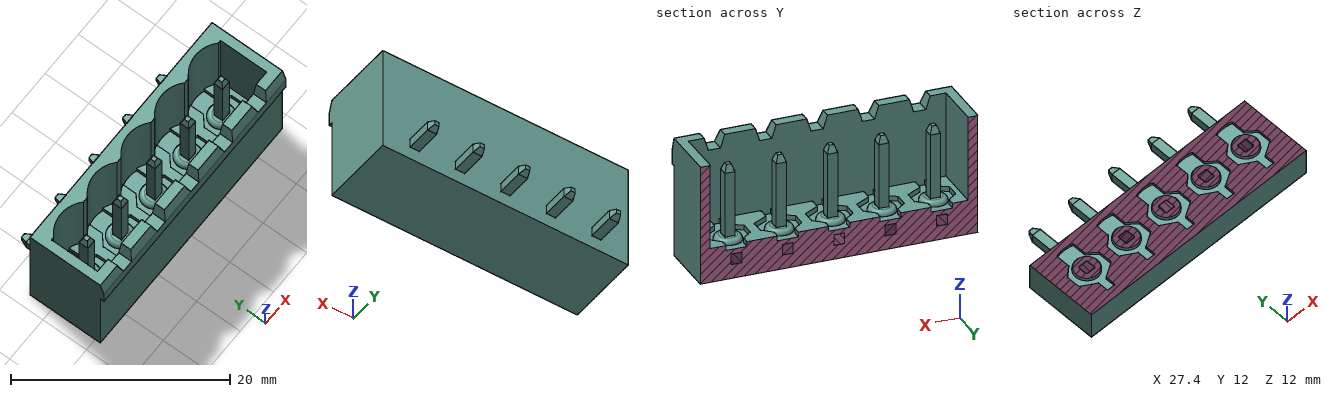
import cadquery as cq


CONTACT_COUNT = 5
PITCH = 5.07
CONTACT_Y = -3.8
CONTACT_XS = [(i - (CONTACT_COUNT - 1) / 2) * PITCH for i in range(CONTACT_COUNT)]

LENGTH = 27.4
HEIGHT = 12.0
BODY_DEPTH = 8.08
LIP_PROJECTION = 0.4
LIP_HEIGHT = 2.82
LIP_CHAMFER_HEIGHT = 1.32
LIP_FRONT_Y = -BODY_DEPTH - LIP_PROJECTION

END_WALL = 1.0
CAVITY_FRONT_Y = LIP_FRONT_Y + 1.48
SCALLOP_PEAK_Y = -0.82
SCALLOP_CUSP_Y = -1.73
SCALLOP_HALF_WIDTH = 2.25
FLOOR_Z = 3.5

RECESS_DEPTH = 0.5
RECESS_BACK_WIDTH = 2.05
RECESS_WIDTH = 4.08
RECESS_FRONT_WIDTH = 0.93
RECESS_NECK_Y = -2.52
RECESS_WIDE_BACK_Y = -3.4
RECESS_WIDE_FRONT_Y = -4.88
RECESS_SLOT_Y = -5.84

COLLAR_DIAMETER = 2.75
COLLAR_TOP_DIAMETER = 1.78
COLLAR_ROUND = (COLLAR_DIAMETER - COLLAR_TOP_DIAMETER) / 2
COLLAR_HEIGHT = RECESS_DEPTH

NOTCH_TOP_WIDTH = 2.03
NOTCH_FLOOR_WIDTH = 1.2
NOTCH_DEPTH = LIP_CHAMFER_HEIGHT

PIN_WIDTH = 1.01
PIN_TIP_WIDTH = 0.47
PIN_TAPER_LENGTH = 0.75
PIN_TOP_Z = 10.77
TAIL_Z = 1.97
TAIL_END_Y = 3.5


def make_block():
    """Housing block with the chamfered lip, as a side profile run along the length."""
    profile = [
        (0, 0),
        (0, HEIGHT),
        (-BODY_DEPTH, HEIGHT),
        (LIP_FRONT_Y, HEIGHT - LIP_CHAMFER_HEIGHT),
        (LIP_FRONT_Y, HEIGHT - LIP_HEIGHT),
        (-BODY_DEPTH, HEIGHT - LIP_HEIGHT),
        (-BODY_DEPTH, 0),
    ]
    return cq.Workplane("YZ").polyline(profile).close().extrude(LENGTH / 2, both=True)


def make_cavity(floor_z):
    """Space inside the cavity walls, from floor_z up to the open top."""
    half_length = LENGTH / 2 - END_WALL
    outline = (
        cq.Workplane("XY", origin=(0, 0, floor_z))
        .moveTo(-half_length, CAVITY_FRONT_Y)
        .lineTo(-half_length, SCALLOP_CUSP_Y)
    )
    for x in CONTACT_XS:
        outline = outline.lineTo(x - SCALLOP_HALF_WIDTH, SCALLOP_CUSP_Y).threePointArc(
            (x, SCALLOP_PEAK_Y), (x + SCALLOP_HALF_WIDTH, SCALLOP_CUSP_Y)
        )
    outline = outline.lineTo(half_length, SCALLOP_CUSP_Y).lineTo(half_length, CAVITY_FRONT_Y)
    return outline.close().extrude(HEIGHT - floor_z)


def make_recess(x):
    """Keyhole-shaped floor recess running from the scalloped wall to the front wall."""
    right_side = [
        (RECESS_BACK_WIDTH / 2, SCALLOP_PEAK_Y),
        (RECESS_BACK_WIDTH / 2, RECESS_NECK_Y),
        (RECESS_WIDTH / 2, RECESS_WIDE_BACK_Y),
        (RECESS_WIDTH / 2, RECESS_WIDE_FRONT_Y),
        (RECESS_FRONT_WIDTH / 2, RECESS_SLOT_Y),
        (RECESS_FRONT_WIDTH / 2, CAVITY_FRONT_Y),
    ]
    left_side = [(-dx, y) for dx, y in reversed(right_side)]
    keyhole = (
        cq.Workplane("XY", origin=(x, 0, FLOOR_Z - RECESS_DEPTH))
        .polyline(right_side + left_side)
        .close()
        .extrude(RECESS_DEPTH)
    )
    return keyhole.intersect(make_cavity(FLOOR_Z - RECESS_DEPTH))


def make_collar(x):
    """Round collar with a rounded top edge, standing on the recess floor."""
    return (
        cq.Workplane("XY", origin=(x, CONTACT_Y, FLOOR_Z - RECESS_DEPTH))
        .circle(COLLAR_DIAMETER / 2)
        .extrude(COLLAR_HEIGHT)
        .faces(">Z")
        .edges()
        .fillet(COLLAR_ROUND)
    )


def make_notch(x):
    """Trapezoidal notch across the front wall, narrowing downwards."""
    profile = [
        (x - NOTCH_TOP_WIDTH / 2, HEIGHT),
        (x + NOTCH_TOP_WIDTH / 2, HEIGHT),
        (x + NOTCH_FLOOR_WIDTH / 2, HEIGHT - NOTCH_DEPTH),
        (x - NOTCH_FLOOR_WIDTH / 2, HEIGHT - NOTCH_DEPTH),
    ]
    return (
        cq.Workplane("XZ", origin=(0, CAVITY_FRONT_Y, 0))
        .polyline(profile)
        .close()
        .extrude(CAVITY_FRONT_Y - LIP_FRONT_Y)
    )


def make_leg(end_plane, length):
    """Square leg with a tapered tip, running back from the tip face on end_plane."""
    taper = (
        cq.Workplane(end_plane)
        .rect(PIN_TIP_WIDTH, PIN_TIP_WIDTH)
        .workplane(offset=-PIN_TAPER_LENGTH)
        .rect(PIN_WIDTH, PIN_WIDTH)
        .loft(ruled=True)
    )
    shaft = (
        cq.Workplane(end_plane)
        .workplane(offset=-PIN_TAPER_LENGTH)
        .rect(PIN_WIDTH, PIN_WIDTH)
        .extrude(PIN_TAPER_LENGTH - length)
    )
    return shaft.union(taper)


def make_pin(x):
    """L-shaped contact: a leg up into the cavity and a tail out through the back."""
    contact_top = cq.Plane(origin=(x, CONTACT_Y, PIN_TOP_Z), xDir=(1, 0, 0), normal=(0, 0, 1))
    tail_end = cq.Plane(origin=(x, TAIL_END_Y, TAIL_Z), xDir=(1, 0, 0), normal=(0, 1, 0))
    contact = make_leg(contact_top, PIN_TOP_Z - TAIL_Z + PIN_WIDTH / 2)
    tail = make_leg(tail_end, TAIL_END_Y - CONTACT_Y + PIN_WIDTH / 2)
    return contact.union(tail).clean()


def make_housing(pins):
    """Housing with its cavity, recesses, collars, notches and fitted pin channels."""
    housing = make_block().cut(make_cavity(FLOOR_Z))
    for x in CONTACT_XS:
        housing = housing.cut(make_recess(x)).union(make_collar(x)).cut(make_notch(x))
    for pin in pins:
        housing = housing.cut(pin)
    return housing


pins = [make_pin(x) for x in CONTACT_XS]
housing = make_housing(pins)

result = cq.Compound.makeCompound([housing.val(), *[pin.val() for pin in pins]])